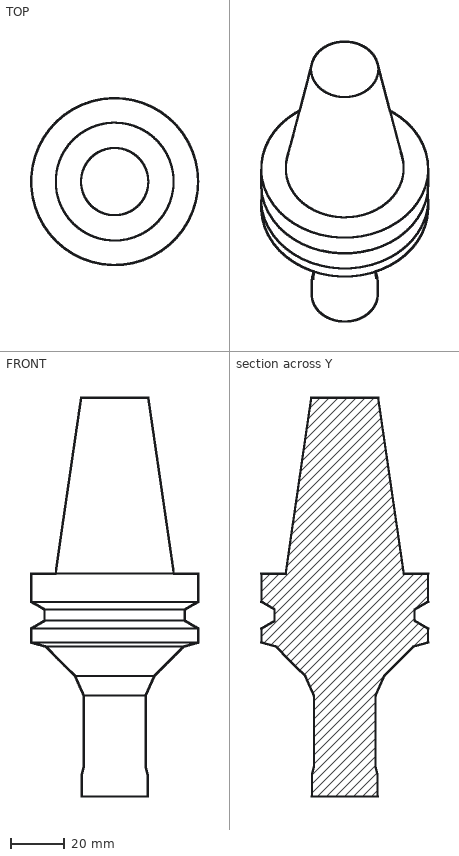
import math

import cadquery as cq

TAPER_GAUGE_DIAMETER = 44.45
TAPER_LENGTH = 65.4
TAPER_RATIO = 7 / 24

FLANGE_DIAMETER = 63.0
FLANGE_TOP_Z = -1.0
FLANGE_BOTTOM_Z = -27.0
GROOVE_DIAMETER = 53.0
GROOVE_CENTRE_Z = -16.6
GROOVE_MOUTH_WIDTH = 10.0
GROOVE_FLANK_ANGLE = math.radians(30)

NECK_TOP_DIAMETER = 52.0
NECK_TOP_Z = -28.5
NECK_THROAT_DIAMETER = 30.0
NECK_ANGLE = math.radians(45)
SHANK_TOP_Z = -46.8

SHANK_DIAMETER = 23.5
NOSE_DIAMETER = 25.0
NOSE_HEIGHT = 8.0
NOSE_CONE_HEIGHT = 3.2
TIP_Z = -85.0

taper_gauge_radius = TAPER_GAUGE_DIAMETER / 2
taper_tip_radius = taper_gauge_radius - TAPER_RATIO * TAPER_LENGTH / 2
flange_radius = FLANGE_DIAMETER / 2
groove_radius = GROOVE_DIAMETER / 2
neck_top_radius = NECK_TOP_DIAMETER / 2
neck_throat_radius = NECK_THROAT_DIAMETER / 2
shank_radius = SHANK_DIAMETER / 2
nose_radius = NOSE_DIAMETER / 2

groove_flank_height = (flange_radius - groove_radius) * math.tan(GROOVE_FLANK_ANGLE)
groove_mouth_top_z = GROOVE_CENTRE_Z + GROOVE_MOUTH_WIDTH / 2
groove_mouth_bottom_z = GROOVE_CENTRE_Z - GROOVE_MOUTH_WIDTH / 2
groove_floor_top_z = groove_mouth_top_z - groove_flank_height
groove_floor_bottom_z = groove_mouth_bottom_z + groove_flank_height

neck_throat_z = NECK_TOP_Z - (neck_top_radius - neck_throat_radius) / math.tan(NECK_ANGLE)
nose_top_z = TIP_Z + NOSE_HEIGHT
nose_cone_top_z = nose_top_z + NOSE_CONE_HEIGHT


def holder_profile():
    """Half section of the holder on XZ, from the taper tip down to the nose."""
    taper = [
        (0, TAPER_LENGTH),
        (taper_tip_radius, TAPER_LENGTH),
        (taper_gauge_radius, 0),
        (taper_gauge_radius, FLANGE_TOP_Z),
    ]
    flange = [
        (flange_radius, FLANGE_TOP_Z),
        (flange_radius, groove_mouth_top_z),
        (groove_radius, groove_floor_top_z),
        (groove_radius, groove_floor_bottom_z),
        (flange_radius, groove_mouth_bottom_z),
        (flange_radius, FLANGE_BOTTOM_Z),
    ]
    neck = [
        (neck_top_radius, NECK_TOP_Z),
        (neck_throat_radius, neck_throat_z),
        (shank_radius, SHANK_TOP_Z),
    ]
    shank_and_nose = [
        (shank_radius, nose_cone_top_z),
        (nose_radius, nose_top_z),
        (nose_radius, TIP_Z),
        (0, TIP_Z),
    ]
    return cq.Workplane("XZ").polyline(taper + flange + neck + shank_and_nose).close()


result = holder_profile().revolve(360, (0, 0), (0, 1))